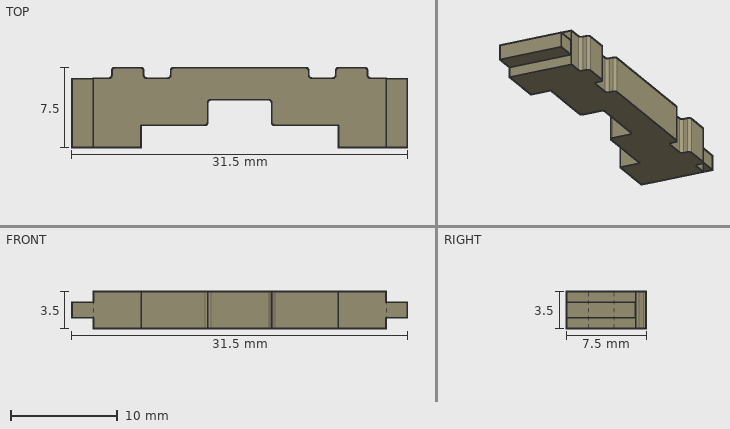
import cadquery as cq

length = 31.5
depth = 7.5
height = 3.5

tab_length = 2.02
shoulder_end = 3.75
end_block_end = 6.5
notch_start = 6.75
notch_end = 9.25
channel_start = 12.75

notch_depth = 0.98
tab_setback = 1.05
channel_floor = 3.02
bar_front = 5.42

tab_thickness = 1.48
corner_radius = 0.28

half_length = length / 2
back = depth / 2
front = -depth / 2


def block(start, end, y_front, y_back, thickness):
    """Block at the -X end, between two distances from that end, centred in Z."""
    return cq.Workplane("XY").box(
        end - start, y_back - y_front, thickness
    ).translate(((start + end) / 2 - half_length, (y_front + y_back) / 2, 0))


def mirrored(shape):
    """The shape together with its copy at the +X end."""
    return shape.union(shape.mirror("YZ"))


bar = cq.Workplane("XY").box(length - 2 * tab_length, bar_front, height)
bar = bar.translate((0, back - bar_front / 2, 0))
for start, end in ((tab_length, shoulder_end), (notch_start, notch_end)):
    bar = bar.cut(mirrored(block(start, end, back - notch_depth, back, height)))
channel = block(channel_start, length - channel_start, back - bar_front, back - channel_floor, height)
bar = bar.cut(channel)

inner_reach = half_length - tab_length - corner_radius
inner_corners = cq.selectors.BoxSelector(
    (-inner_reach, front, -height), (inner_reach, depth, height)
)
bar = bar.edges("|Z").edges(inner_corners).fillet(corner_radius)

end_block = block(tab_length, end_block_end, front, back - notch_depth, height)
tab = block(0, tab_length, front, back - tab_setback, tab_thickness)

result = bar.union(mirrored(end_block)).union(mirrored(tab))